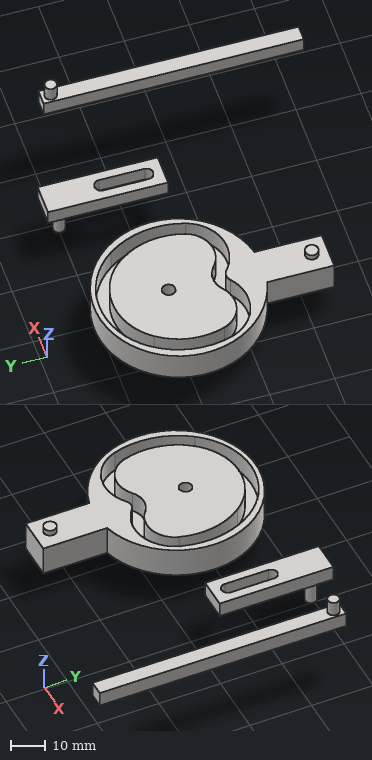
import cadquery as cq
import math

overall_width = 103.0
thin_pin_diameter = 3.7
running_diameter = 4.0
bar_thickness = 5.0

plate_thickness = 10.0
disc_radius = 26.0
disc_center_y = -3.1
handle_width = 12.1
handle_end_y = -49.0
handle_pin_y = -44.0
handle_pin_height = 2.0

groove_width = 4.0
groove_depth = 7.0
crown_center_y = -1.6
crown_radius = 20.9
flank_radius = 24.9
lobe_radius = 10.9
dimple_radius = 4.9
crown_end_angle = 36
flank_end_angle = -18

link_width = 10.0
link_length = 37.0
link_center_x = 44.1
link_top_y = 24.6
link_bottom_z = 4.3
link_pin_length = 10.0
link_pin_inset = link_width / 2
slot_length = 18.0
slot_center_y = -0.3

rod_width = bar_thickness
rod_length = 80.0
rod_center_x = overall_width - disc_radius - rod_width / 2
rod_top_y = 15.5
rod_bottom_z = 12.7
rod_pin_length = 4.9
rod_pin_inset = 3.0


def polar_point(center, radius, angle):
    """Point at the given radius and angle in degrees from a center."""
    x = center[0] + radius * math.cos(math.radians(angle))
    y = center[1] + radius * math.sin(math.radians(angle))
    return (x, y)


def mirrored(point):
    return (-point[0], point[1])


def cam_profile(offset):
    """Closed cam outline, moved outward from the groove centreline by offset."""
    crown_center = (0, crown_center_y)
    flank_center = polar_point(crown_center, crown_radius - flank_radius, crown_end_angle)
    lobe_center = polar_point(flank_center, flank_radius - lobe_radius, flank_end_angle)

    center_distance = lobe_radius + dimple_radius
    lobe_end_angle = -math.degrees(math.acos(-lobe_center[0] / center_distance))
    dimple_center = polar_point(lobe_center, center_distance, lobe_end_angle)

    lobe_mid_angle = (flank_end_angle + lobe_end_angle) / 2
    flank_mid_angle = (crown_end_angle + flank_end_angle) / 2
    crown_top = polar_point(crown_center, crown_radius + offset, 90)
    crown_end = polar_point(crown_center, crown_radius + offset, crown_end_angle)
    flank_mid = polar_point(flank_center, flank_radius + offset, flank_mid_angle)
    flank_end = polar_point(flank_center, flank_radius + offset, flank_end_angle)
    lobe_mid = polar_point(lobe_center, lobe_radius + offset, lobe_mid_angle)
    lobe_end = polar_point(lobe_center, lobe_radius + offset, lobe_end_angle)
    dimple_top = polar_point(dimple_center, dimple_radius - offset, 90)

    return (
        cq.Workplane("XY")
        .moveTo(*mirrored(crown_end))
        .threePointArc(crown_top, crown_end)
        .threePointArc(flank_mid, flank_end)
        .threePointArc(lobe_mid, lobe_end)
        .threePointArc(dimple_top, mirrored(lobe_end))
        .threePointArc(mirrored(lobe_mid), mirrored(flank_end))
        .threePointArc(mirrored(flank_mid), mirrored(crown_end))
        .close()
    )


def cylinder(x, y, bottom_z, diameter, height):
    return cq.Workplane("XY", origin=(x, y, bottom_z)).circle(diameter / 2).extrude(height)


def block(center_x, top_y, bottom_z, width, length, height):
    """Box placed by the middle of its +Y edge and its bottom."""
    origin = (center_x, top_y - length / 2, bottom_z)
    return cq.Workplane("XY", origin=origin).rect(width, length).extrude(height)


def make_cam_plate():
    disc = cylinder(0, disc_center_y, 0, 2 * disc_radius, plate_thickness)
    handle_length = disc_center_y - handle_end_y
    handle = block(0, disc_center_y, 0, handle_width, handle_length, plate_thickness)
    plate = disc.union(handle)

    outer_cam = cam_profile(groove_width / 2).extrude(groove_depth)
    inner_cam = cam_profile(-groove_width / 2).extrude(groove_depth)
    groove = outer_cam.cut(inner_cam).translate((0, 0, plate_thickness - groove_depth))
    plate = plate.cut(groove)

    plate = plate.cut(cylinder(0, 0, 0, running_diameter, plate_thickness))
    handle_pin = cylinder(0, handle_pin_y, plate_thickness, running_diameter, handle_pin_height)
    return plate.union(handle_pin)


def make_slotted_link():
    bar = block(link_center_x, link_top_y, link_bottom_z, link_width, link_length, bar_thickness)
    slot = (
        cq.Workplane("XY", origin=(link_center_x, slot_center_y, link_bottom_z))
        .slot2D(slot_length, running_diameter, 90)
        .extrude(bar_thickness)
    )
    pin_y = link_top_y - link_pin_inset
    pin_bottom_z = link_bottom_z - link_pin_length
    pin = cylinder(link_center_x, pin_y, pin_bottom_z, thin_pin_diameter, link_pin_length)
    return bar.cut(slot).union(pin)


def make_push_rod():
    bar = block(rod_center_x, rod_top_y, rod_bottom_z, rod_width, rod_length, bar_thickness)
    pin_y = rod_top_y - rod_pin_inset
    pin_bottom_z = rod_bottom_z + bar_thickness
    pin = cylinder(rod_center_x, pin_y, pin_bottom_z, thin_pin_diameter, rod_pin_length)
    return bar.union(pin)


cam_plate = make_cam_plate()
slotted_link = make_slotted_link()
push_rod = make_push_rod()

result = cq.Compound.makeCompound([cam_plate.val(), slotted_link.val(), push_rod.val()])